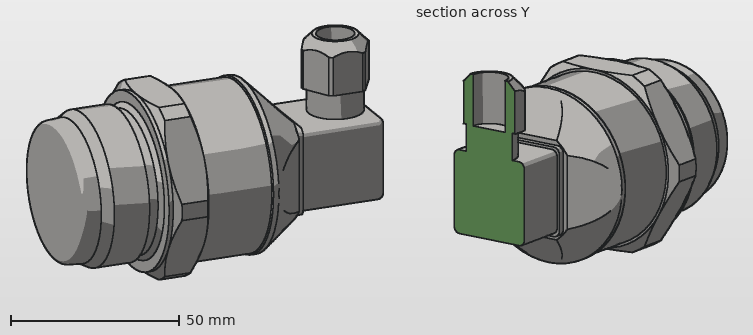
import cadquery as cq
import math

OVERALL_LENGTH = 101.8

TIP_DIAMETER = 43.3
TIP_BASE_DIAMETER = 44.1
TIP_LENGTH = 5.8
TIP_FILLET = 1.48
THREAD_DIAMETER = 47.8
THREAD_FRONT = 9.3
THREAD_REAR = 20.7
NECK_DIAMETER = 44.4
NECK_REAR = 24.1

WASHER_FRONT = 25.5
HEX_FRONT = 26.8
HEX_REAR = 38.4
HEX_ACROSS_FLATS = 54.8
HEX_CORNER_DIAMETER = 60.5
HEX_CHAMFER_ANGLE = 30.0

HOUSING_DIAMETER = 53.2
COLLAR_DIAMETER = 54.0
COLLAR_FRONT = 59.1
COLLAR_REAR = 61.2

SHOULDER_REAR = 72.8
SHOULDER_REAR_DIAMETER = 38.3

PLATE_REAR = 74.8
PLATE_WIDTH = 27.7
BOX_WIDTH = 26.1
BOX_FILLET = 2.1

GLAND_TOP = 37.2
GLAND_NUT_BOTTOM = 21.3
NUT_ACROSS_FLATS = 19.1
NUT_CORNER_DIAMETER = 21.4
NUT_TOP_DIAMETER = 14.0
STEM_DIAMETER = 17.2
BORE_DIAMETER = 11.5
GLAND_Y = OVERALL_LENGTH - NUT_CORNER_DIAMETER / 2


def section_plane(y):
    """Plane across the main axis whose normal points along +Y."""
    return cq.Workplane(cq.Plane(origin=(0, y, 0), xDir=(1, 0, 0), normal=(0, 1, 0)))


def revolve_about_y(points):
    """Solid of revolution from (radius, y) points, closed through the axis."""
    return cq.Workplane("XY").polyline(points).close().revolve(360, (0, 0, 0), (0, 1, 0))


def hexagon_diameter(across_flats):
    return across_flats / math.cos(math.pi / 6)


def make_turned_body():
    tip_radius = TIP_DIAMETER / 2
    thread_radius = THREAD_DIAMETER / 2
    neck_radius = NECK_DIAMETER / 2
    washer_radius = HEX_ACROSS_FLATS / 2
    housing_radius = HOUSING_DIAMETER / 2
    collar_radius = COLLAR_DIAMETER / 2
    collar_step = collar_radius - housing_radius
    body = revolve_about_y([
        (0, 0),
        (tip_radius, 0),
        (TIP_BASE_DIAMETER / 2, TIP_LENGTH),
        (thread_radius, THREAD_FRONT),
        (thread_radius, THREAD_REAR),
        (neck_radius, THREAD_REAR),
        (neck_radius, NECK_REAR),
        (thread_radius, WASHER_FRONT),
        (washer_radius, WASHER_FRONT),
        (washer_radius, HEX_FRONT),
        (housing_radius, HEX_FRONT),
        (housing_radius, COLLAR_FRONT),
        (collar_radius, COLLAR_FRONT + collar_step),
        (collar_radius, COLLAR_REAR),
        (0, COLLAR_REAR),
    ])
    return body.faces("<Y").edges().fillet(TIP_FILLET)


def make_main_hexagon():
    flat_radius = HEX_ACROSS_FLATS / 2
    corner_radius = HEX_CORNER_DIAMETER / 2
    chamfer = (corner_radius - flat_radius) * math.tan(math.radians(HEX_CHAMFER_ANGLE))
    prism = section_plane(HEX_FRONT).polygon(6, hexagon_diameter(HEX_ACROSS_FLATS))
    prism = prism.extrude(HEX_REAR - HEX_FRONT)
    envelope = revolve_about_y([
        (0, HEX_FRONT),
        (flat_radius, HEX_FRONT),
        (corner_radius, HEX_FRONT + chamfer),
        (corner_radius, HEX_REAR - chamfer),
        (flat_radius, HEX_REAR),
        (0, HEX_REAR),
    ])
    return prism.intersect(envelope)


def make_shoulder():
    length = SHOULDER_REAR - COLLAR_REAR
    cone = revolve_about_y([
        (0, COLLAR_REAR),
        (COLLAR_DIAMETER / 2, COLLAR_REAR),
        (SHOULDER_REAR_DIAMETER / 2, SHOULDER_REAR),
        (0, SHOULDER_REAR),
    ])
    pyramid = section_plane(COLLAR_REAR).rect(COLLAR_DIAMETER, COLLAR_DIAMETER)
    pyramid = pyramid.extrude(length, taper=45)
    return cone.intersect(pyramid)


def make_connector_box():
    plate = section_plane(SHOULDER_REAR).rect(PLATE_WIDTH, PLATE_WIDTH)
    plate = plate.extrude(PLATE_REAR - SHOULDER_REAR).edges("|Y").fillet(BOX_FILLET)
    box = section_plane(PLATE_REAR).rect(BOX_WIDTH, BOX_WIDTH)
    box = box.extrude(OVERALL_LENGTH - PLATE_REAR)
    box = box.edges("|Y or >Y").fillet(BOX_FILLET)
    return plate.union(box)


def make_gland():
    nut_height = GLAND_TOP - GLAND_NUT_BOTTOM
    nut_chamfer = (NUT_CORNER_DIAMETER - NUT_TOP_DIAMETER) / 2
    nut_base = cq.Workplane("XY").workplane(offset=GLAND_NUT_BOTTOM)
    prism = nut_base.polygon(6, hexagon_diameter(NUT_ACROSS_FLATS)).extrude(nut_height)
    prism = prism.rotate((0, 0, 0), (0, 0, 1), 90)
    envelope = nut_base.circle(NUT_CORNER_DIAMETER / 2).extrude(nut_height)
    envelope = envelope.faces(">Z").edges().chamfer(nut_chamfer)
    stem = cq.Workplane("XY").circle(STEM_DIAMETER / 2).extrude(GLAND_NUT_BOTTOM)
    bore = nut_base.circle(BORE_DIAMETER / 2).extrude(nut_height)
    gland = prism.intersect(envelope).cut(bore).union(stem)
    return gland.translate((0, GLAND_Y, 0))


result = (
    make_turned_body()
    .union(make_main_hexagon())
    .union(make_shoulder())
    .union(make_connector_box())
    .union(make_gland())
)